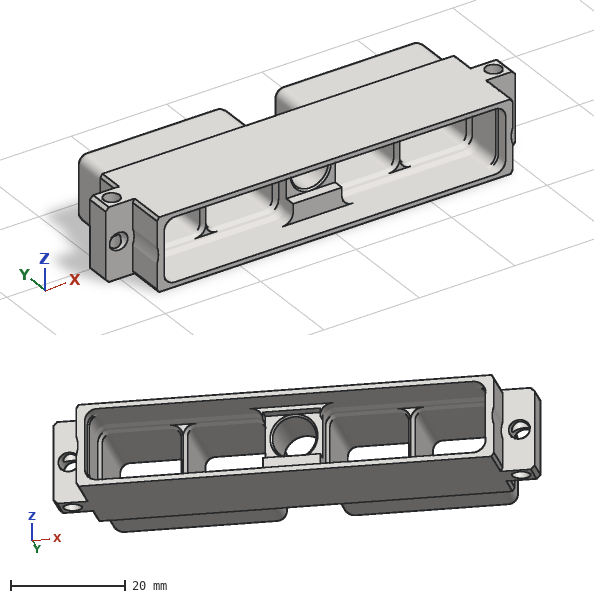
import cadquery as cq
total_length = 85.9
total_depth = 26.7
height = 15.2
mid_z = height / 2

body_length = 74.55
body_depth = 17.95
edge_chamfer = 0.7
body_chamfer_x = 0.4
ear_front = 7.7
ear_depth = 5.0
ear_mid_y = ear_front + ear_depth / 2

socket_length = 31.2
socket_height = 13.65
socket_center_x = 20.6
socket_corner = 2.0
socket_rim_chamfer = 0.8
socket_rim_inset = 0.2

cell_pitch = 15.2
block_length = 10.2
pair_length = 2 * cell_pitch
pair_center_x = (block_length + pair_length) / 2
cell_centers = [
    side * pair_center_x + offset * cell_pitch / 2 for side in (-1, 1) for offset in (-1, 1)
]

cavity_height = 13.2
cavity_corner = 2.2
mouth_length = 71.5
mouth_depth = 2.3
mouth_taper_depth = 0.4
cavity_length = block_length + 2 * pair_length
block_front = 5.5

pocket_taper_start = 8.0
pocket_taper_depth = 1.4
pocket_taper_inset = 0.3
pocket_straight_depth = 0.8
pocket_taper_end = pocket_taper_start + pocket_taper_depth
pocket_end = pocket_taper_end + pocket_straight_depth
pocket_end_height = cavity_height - 2 * pocket_taper_inset

cell_taper_depth = 1.1
cell_end = pocket_end + cell_taper_depth
cell_length = 14.1
cell_height = 12.2
cell_corner = 1.7

notch_bottom = 4.9
notch_top = 13.4
notch_mid_z = (notch_top + notch_bottom) / 2
notch_depth = 2.15
center_hole_diameter = 7.8
center_hole_chamfer = 0.35

vertical_hole_x = 40.0
vertical_hole_diameter = 3.3
oval_hole_x = 40.2
oval_hole_length = 3.8
oval_hole_height = 3.5
groove_width = 3.35
groove_depth = 0.3


def box(length, depth, tall, x, y, z):
    """Box centred on x and z that starts at y."""
    return cq.Workplane("XY").box(length, depth, tall, centered=(True, False, True)).translate((x, y, z))


def rounded_rectangle(length, tall, corner):
    return cq.Sketch().rect(length, tall).vertices().fillet(corner)


def rounded_prism(length, tall, corner, x, start, end):
    """Prism along Y from start to end, centred on x and on the middle height."""
    return (
        cq.Workplane("XZ", origin=(x, start, mid_z))
        .placeSketch(rounded_rectangle(length, tall, corner))
        .extrude(start - end)
    )


def rounded_taper(size, end_size, x, start, end):
    """Loft along Y between two rounded rectangles, each given as length, height and corner radius."""
    back = cq.Location(cq.Vector(0, 0, start - end))
    return (
        cq.Workplane("XZ", origin=(x, start, mid_z))
        .placeSketch(rounded_rectangle(*size), rounded_rectangle(*end_size).moved(back))
        .loft()
    )


def housing():
    body = (
        box(body_length, body_depth, height, 0, 0, mid_z)
        .faces(">Z or <Z").edges("|Y").chamfer(edge_chamfer, body_chamfer_x)
    )
    ears = box(total_length, ear_depth, height, 0, ear_front, mid_z).edges("|Y").chamfer(edge_chamfer)
    return body.union(ears)


def socket(x):
    block = rounded_prism(socket_length, socket_height, socket_corner, x, body_depth, total_depth)
    return block.faces(">Y").chamfer(socket_rim_chamfer, socket_rim_inset)


def cavity():
    mouth_size = (mouth_length, cavity_height, cavity_corner)
    inner_size = (cavity_length, cavity_height, cavity_corner)
    taper_end = mouth_depth + mouth_taper_depth
    return (
        rounded_prism(*mouth_size, 0, 0, mouth_depth)
        .union(rounded_taper(mouth_size, inner_size, 0, mouth_depth, taper_end))
        .union(rounded_prism(*inner_size, 0, taper_end, block_front))
    )


def pair_pocket(x):
    front_size = (pair_length, cavity_height, cavity_corner)
    end_size = (pair_length, pocket_end_height, cavity_corner)
    return (
        rounded_prism(*front_size, x, block_front, pocket_taper_start)
        .union(rounded_taper(front_size, end_size, x, pocket_taper_start, pocket_taper_end))
        .union(rounded_prism(*end_size, x, pocket_taper_end, pocket_end))
    )


def cell(x):
    entry_size = (cell_pitch, pocket_end_height, cavity_corner)
    passage_size = (cell_length, cell_height, cell_corner)
    return rounded_taper(entry_size, passage_size, x, pocket_end, cell_end).union(
        rounded_prism(*passage_size, x, cell_end, total_depth)
    )


def center_opening():
    notch = box(block_length, notch_depth, notch_top - notch_bottom, 0, block_front, notch_mid_z)
    hole_start = block_front + notch_depth
    hole = (
        cq.Workplane("XZ", origin=(0, hole_start, notch_mid_z))
        .circle(center_hole_diameter / 2)
        .extrude(hole_start - body_depth)
    )
    countersink = cq.Workplane("XY").add(
        cq.Solid.makeCone(
            center_hole_diameter / 2 + center_hole_chamfer,
            center_hole_diameter / 2,
            center_hole_chamfer,
            cq.Vector(0, hole_start, notch_mid_z),
            cq.Vector(0, 1, 0),
        )
    )
    return notch.union(hole).union(countersink)


def ear_holes(side):
    vertical = (
        cq.Workplane("XY", origin=(side * vertical_hole_x, ear_mid_y, 0))
        .circle(vertical_hole_diameter / 2)
        .extrude(height)
    )
    oval = (
        cq.Workplane("XZ", origin=(side * oval_hole_x, ear_front, mid_z))
        .ellipse(oval_hole_length / 2, oval_hole_height / 2)
        .extrude(-ear_depth)
    )
    return vertical.union(oval)


def side_groove(side, start, end):
    """Shallow round groove along Y in the end wall of the body."""
    radius = (groove_width**2 / 4 + groove_depth**2) / (2 * groove_depth)
    axis_x = side * (body_length / 2 - groove_depth + radius)
    return cq.Workplane("XZ", origin=(axis_x, start, mid_z)).circle(radius).extrude(start - end)


result = housing()
for side in (-1, 1):
    result = result.union(socket(side * socket_center_x))

result = result.cut(cavity()).cut(center_opening())
for side in (-1, 1):
    result = result.cut(pair_pocket(side * pair_center_x))
for x in cell_centers:
    result = result.cut(cell(x))

for side in (-1, 1):
    result = result.cut(ear_holes(side))
    result = result.cut(side_groove(side, 0, ear_front))
    result = result.cut(side_groove(side, ear_front + ear_depth, body_depth))